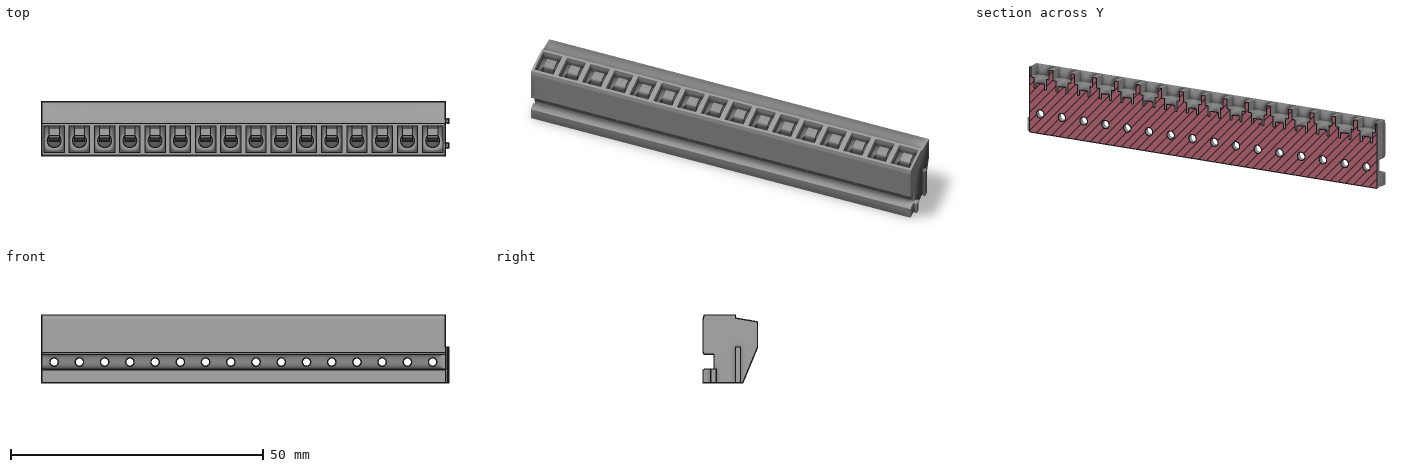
import cadquery as cq

total_length = 80.7
depth = 10.8
height = 13.5
pin_reach = 0.7
body_length = total_length - pin_reach
terminal_count = 16
pitch = body_length / terminal_count

front_bevel_depth = 0.25
front_bevel_drop = 0.9
front_bevel_top_radius = 0.2
front_bevel_foot_radius = 0.5
back_edge_radius = 0.3
deck_depth = 6.45
deck_step_z = 12.8
back_top_z = 12.1
back_bend_z = 7.0
foot_depth = 7.9
groove_depth = 2.2
groove_bottom_z = 2.75
groove_top_z = 5.65
lip_bevel_depth = 0.3
lip_bevel_drop = 0.25
groove_bevel_depth = 0.25
groove_bevel_rise = 0.4

pocket_width = 4.0
pocket_front_y = 0.7
pocket_back_y = 6.0
pocket_floor_z = 11.45

well_radius = 1.4
well_y = 3.1
well_floor_z = 9.3
block_width = 2.0
block_top_z = 12.1
block_back_top_y = 5.6
block_back_z = 11.7
block_front_top_y = 4.1
block_shoulder_y = 3.6
block_shoulder_z = 11.8
block_front_foot_y = 2.9

test_hole_diameter = 1.6
test_hole_z = 4.1

front_joint_y = 2.1
front_joint_height = groove_bottom_z
front_neck_width = 0.7
front_head_width = 1.2
front_tip_width = 1.0
back_joint_y = 6.9
back_joint_height = 7.1
back_neck_width = 0.5
back_head_width = 1.0
pin_tip_length = 0.25
socket_depth = 0.25
latch_recess_bottom_z = 3.4
latch_recess_top_z = 5.1
latch_recess_depth = 0.5


def box(x0, x1, y0, y1, z0, z1):
    block = cq.Workplane("XY").box(x1 - x0, y1 - y0, z1 - z0, centered=False)
    return block.translate((x0, y0, z0))


def long_edge_at(y, z):
    """Selector for the full-length housing edge at the given Y and Z."""
    return cq.selectors.NearestToPointSelector((body_length / 2, y, z))


def housing():
    outline = [
        (0, 0),
        (0, groove_bottom_z - lip_bevel_drop),
        (lip_bevel_depth, groove_bottom_z),
        (groove_depth, groove_bottom_z),
        (groove_depth, groove_top_z),
        (groove_bevel_depth, groove_top_z),
        (0, groove_top_z + groove_bevel_rise),
        (0, height - front_bevel_drop),
        (front_bevel_depth, height),
        (deck_depth, height),
        (deck_depth, deck_step_z),
        (depth, back_top_z),
        (depth, back_bend_z),
        (foot_depth, 0),
    ]
    body = cq.Workplane("YZ").polyline(outline).close().extrude(body_length)
    body = body.edges(long_edge_at(front_bevel_depth, height)).fillet(front_bevel_top_radius)
    body = body.edges(long_edge_at(0, height - front_bevel_drop)).fillet(front_bevel_foot_radius)
    return body.edges(long_edge_at(depth, back_top_z)).fillet(back_edge_radius)


def clamp_block(x):
    outline = [
        (block_front_foot_y, well_floor_z),
        (block_shoulder_y, block_shoulder_z),
        (block_front_top_y, block_top_z),
        (block_back_top_y, block_top_z),
        (pocket_back_y, block_back_z),
        (pocket_back_y, well_floor_z),
    ]
    profile = cq.Workplane("YZ").polyline(outline).close()
    return profile.extrude(block_width).translate((x - block_width / 2, 0, 0))


def terminal_cut(x):
    half_width = pocket_width / 2
    pocket = box(x - half_width, x + half_width, pocket_front_y, pocket_back_y, pocket_floor_z, height)
    well = (
        cq.Workplane("XY", origin=(x, well_y, well_floor_z))
        .circle(well_radius)
        .extrude(pocket_floor_z - well_floor_z)
    )
    test_hole = (
        cq.Workplane("XZ", origin=(x, 0, test_hole_z))
        .circle(test_hole_diameter / 2)
        .extrude(-depth)
    )
    return pocket.union(well).cut(clamp_block(x)).union(test_hole)


def joint_pin(y, neck_width, head_width, tip_width, pin_height):
    """Pin that flares away from the housing, then runs straight or narrows to its tip."""
    widest_x = total_length - pin_tip_length
    half_neck = neck_width / 2
    half_head = head_width / 2
    half_tip = tip_width / 2
    outline = [
        (body_length, y - half_neck),
        (widest_x, y - half_head),
        (total_length, y - half_tip),
        (total_length, y + half_tip),
        (widest_x, y + half_head),
        (body_length, y + half_neck),
    ]
    return cq.Workplane("XY").polyline(outline).close().extrude(pin_height)


def joint_socket(y, mouth_width, floor_width, socket_height):
    half_mouth = mouth_width / 2
    half_floor = floor_width / 2
    outline = [
        (0, y - half_mouth),
        (socket_depth, y - half_floor),
        (socket_depth, y + half_floor),
        (0, y + half_mouth),
    ]
    return cq.Workplane("XY").polyline(outline).close().extrude(socket_height)


def latch_recess():
    """Deeper window in the floor of the back socket."""
    return box(
        socket_depth,
        socket_depth + latch_recess_depth,
        back_joint_y - back_neck_width / 2,
        back_joint_y + back_neck_width / 2,
        latch_recess_bottom_z,
        latch_recess_top_z,
    )


result = housing()
for index in range(terminal_count):
    result = result.cut(terminal_cut((index + 0.5) * pitch))

sockets = [
    joint_socket(front_joint_y, front_neck_width, front_head_width, front_joint_height),
    joint_socket(back_joint_y, back_head_width, back_neck_width, back_joint_height),
    latch_recess(),
]
for socket in sockets:
    result = result.cut(socket)

pins = [
    joint_pin(front_joint_y, front_neck_width, front_head_width, front_tip_width, front_joint_height),
    joint_pin(back_joint_y, back_neck_width, back_head_width, back_head_width, back_joint_height),
]
for pin in pins:
    result = result.union(pin)